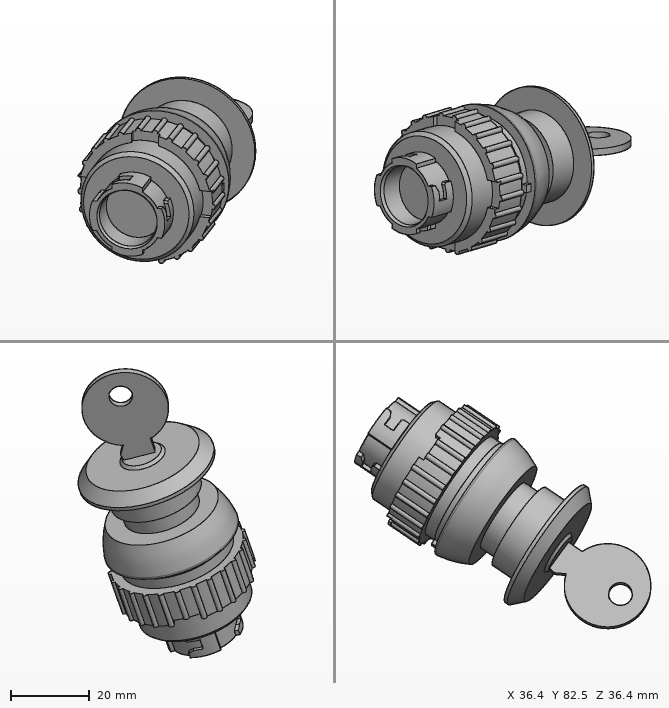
import cadquery as cq
import math

CONNECTOR_FACE_Y = 0.0
BODY_START_Y = 8.0
RING_START_Y = 15.5
RING_END_Y = 25.4
COLLAR_START_Y = 28.4
DOME_START_Y = 30.3
DOME_END_Y = 39.0
NECK_END_Y = 44.0
FLANGE_START_Y = 52.0
FLANGE_END_Y = 56.0
PLUG_END_Y = 56.8
KEY_END_Y = 82.46

BODY_RADIUS = 15.0
BODY_CHAMFER = 1.0
COLLAR_RADIUS = 15.1
DOME_RADIUS = 17.75
DOME_RIM_LENGTH = 0.5
DOME_TOP_RADIUS = 15.0
DOME_BULGE = 0.4
NECK_RADIUS = 10.0
STEM_RADIUS = 12.0
FLANGE_RADIUS = 18.0
FLANGE_RIM_LENGTH = 1.0
PLUG_RADIUS = 6.0

COLLAR_TAB_REACH = 16.45
COLLAR_TAB_WIDTH = 2.0

RING_RADIUS = 17.5
RIB_COUNT = 25
RIB_RADIUS = 0.75
RING_NOTCH_WIDTH = 7.2
RING_NOTCH_DEPTH = 1.4

CONNECTOR_RADIUS = 9.0
LUG_RADIUS = 10.0
LUG_LENGTH = 7.5
LUG_WIDTH = 8.1
QUARTER_TURNS = (0, 90, 180, 270)
BORE_RADIUS = 7.635
BORE_MOUTH_RADIUS = 8.0
BORE_MOUTH_DEPTH = 1.0
BORE_DEPTH = 7.0
LATCH_START_Y = 2.2
LATCH_END_Y = 4.95
LATCH_LEAD_IN_LENGTH = 1.5
LATCH_LEAD_IN_RISE = 0.8
LATCH_CORNER = 0.5

KEY_THICKNESS = 1.8
KEY_HEAD_RADIUS = 11.0
KEY_HOLE_RADIUS = 3.0
KEY_HOLE_OFFSET = 4.0
KEY_SHANK_HALF_WIDTH = 3.6
KEY_BIT_REACH = 5.05
KEY_BIT_TIP_Y = 58.5
KEY_BIT_END_X = 4.8


def cylinder(radius, start_y, end_y):
    """Solid cylinder on the Y axis."""
    return cq.Workplane("XZ", origin=(0, start_y, 0)).circle(radius).extrude(start_y - end_y)


def turned_body():
    """Body, dome, neck, stem, flange and lock plug as one solid of revolution."""
    rim_end_y = DOME_START_Y + DOME_RIM_LENGTH
    dome_middle = (
        (DOME_RADIUS + DOME_TOP_RADIUS) / 2 + DOME_BULGE,
        (rim_end_y + DOME_END_Y) / 2,
    )
    flange_rim_end_y = FLANGE_START_Y + FLANGE_RIM_LENGTH
    flange_bevel = FLANGE_END_Y - flange_rim_end_y
    plug_bevel = PLUG_END_Y - FLANGE_END_Y
    return (
        cq.Workplane("XY")
        .moveTo(0, BODY_START_Y)
        .lineTo(BODY_RADIUS - BODY_CHAMFER, BODY_START_Y)
        .lineTo(BODY_RADIUS, BODY_START_Y + BODY_CHAMFER)
        .lineTo(BODY_RADIUS, COLLAR_START_Y)
        .lineTo(COLLAR_RADIUS, COLLAR_START_Y)
        .lineTo(COLLAR_RADIUS, DOME_START_Y)
        .lineTo(DOME_RADIUS, DOME_START_Y)
        .lineTo(DOME_RADIUS, rim_end_y)
        .threePointArc(dome_middle, (DOME_TOP_RADIUS, DOME_END_Y))
        .lineTo(NECK_RADIUS, DOME_END_Y)
        .lineTo(NECK_RADIUS, NECK_END_Y)
        .lineTo(STEM_RADIUS, NECK_END_Y)
        .lineTo(STEM_RADIUS, FLANGE_START_Y)
        .lineTo(FLANGE_RADIUS, FLANGE_START_Y)
        .lineTo(FLANGE_RADIUS, flange_rim_end_y)
        .lineTo(FLANGE_RADIUS - flange_bevel, FLANGE_END_Y)
        .lineTo(PLUG_RADIUS, FLANGE_END_Y)
        .lineTo(PLUG_RADIUS - plug_bevel, PLUG_END_Y)
        .lineTo(0, PLUG_END_Y)
        .close()
        .revolve(360, (0, 0, 0), (0, 1, 0))
    )


def collar_tab():
    """Locating tab reaching out to +X between the collar start and the dome."""
    tab_length = DOME_START_Y - COLLAR_START_Y
    return (
        cq.Workplane("XY", origin=(0, COLLAR_START_Y, -COLLAR_TAB_WIDTH))
        .box(COLLAR_TAB_REACH, tab_length, COLLAR_TAB_WIDTH, centered=False)
    )


def clamping_ring():
    """Ring with half-round ribs all round and four notches in its front face."""
    ring = cylinder(RING_RADIUS, RING_START_Y, RING_END_Y)
    ribs = (
        cq.Workplane("XZ", origin=(0, RING_START_Y, 0))
        .polarArray(RING_RADIUS, -90, 360, RIB_COUNT)
        .circle(RIB_RADIUS)
        .extrude(RING_START_Y - RING_END_Y)
    )
    ring = ring.union(ribs)
    notch_reach = RING_RADIUS + 2 * RIB_RADIUS
    notch = (
        cq.Workplane("XY", origin=(0, RING_START_Y, 0))
        .box(RING_NOTCH_WIDTH, RING_NOTCH_DEPTH, notch_reach, centered=(True, False, False))
    )
    for angle in QUARTER_TURNS:
        ring = ring.cut(notch.rotate((0, 0, 0), (0, 1, 0), angle))
    return ring


def bayonet_lug():
    """Lug on the +Z side with its latch slot open towards -X."""
    blank = cylinder(LUG_RADIUS, CONNECTOR_FACE_Y, CONNECTOR_FACE_Y + LUG_LENGTH)
    window = (
        cq.Workplane("XY", origin=(0, CONNECTOR_FACE_Y, 0))
        .box(LUG_WIDTH, LUG_LENGTH, LUG_RADIUS, centered=(True, False, False))
    )
    flank_x = -LUG_WIDTH / 2
    latch = (
        cq.Workplane("XY")
        .moveTo(0, LATCH_START_Y)
        .lineTo(flank_x + LATCH_LEAD_IN_LENGTH, LATCH_START_Y)
        .lineTo(flank_x, LATCH_START_Y - LATCH_LEAD_IN_RISE)
        .lineTo(flank_x, LATCH_END_Y + LATCH_CORNER)
        .lineTo(flank_x + LATCH_CORNER, LATCH_END_Y)
        .lineTo(0, LATCH_END_Y)
        .close()
        .extrude(LUG_RADIUS)
    )
    return blank.intersect(window).cut(latch)


def connector():
    """Round spigot with four bayonet lugs."""
    spigot = cylinder(CONNECTOR_RADIUS, CONNECTOR_FACE_Y, BODY_START_Y)
    lug = bayonet_lug()
    for angle in QUARTER_TURNS:
        spigot = spigot.union(lug.rotate((0, 0, 0), (0, 1, 0), angle))
    return spigot


def connector_bore():
    """Blind bore with a chamfered mouth."""
    return (
        cq.Workplane("XY")
        .moveTo(0, CONNECTOR_FACE_Y)
        .lineTo(BORE_MOUTH_RADIUS, CONNECTOR_FACE_Y)
        .lineTo(BORE_RADIUS, CONNECTOR_FACE_Y + BORE_MOUTH_DEPTH)
        .lineTo(BORE_RADIUS, CONNECTOR_FACE_Y + BORE_DEPTH)
        .lineTo(0, CONNECTOR_FACE_Y + BORE_DEPTH)
        .close()
        .revolve(360, (0, 0, 0), (0, 1, 0))
    )


def key():
    """Flat key: round head with a hole, and a shank with one sloped bit."""
    head_y = KEY_END_Y - KEY_HEAD_RADIUS
    head_drop = math.sqrt(KEY_HEAD_RADIUS**2 - KEY_SHANK_HALF_WIDTH**2)
    shank_top_y = head_y - head_drop
    shank = (
        cq.Workplane("XY")
        .moveTo(-KEY_SHANK_HALF_WIDTH, FLANGE_END_Y)
        .lineTo(-KEY_SHANK_HALF_WIDTH, head_y)
        .lineTo(KEY_SHANK_HALF_WIDTH, head_y)
        .lineTo(KEY_SHANK_HALF_WIDTH, shank_top_y)
        .lineTo(KEY_BIT_REACH, KEY_BIT_TIP_Y)
        .lineTo(KEY_BIT_END_X, PLUG_END_Y)
        .lineTo(KEY_BIT_END_X, FLANGE_END_Y)
        .close()
        .extrude(KEY_THICKNESS / 2, both=True)
    )
    head = (
        cq.Workplane("XY")
        .center(0, head_y)
        .circle(KEY_HEAD_RADIUS)
        .extrude(KEY_THICKNESS / 2, both=True)
    )
    hole = (
        cq.Workplane("XY")
        .center(0, head_y + KEY_HOLE_OFFSET)
        .circle(KEY_HOLE_RADIUS)
        .extrude(KEY_THICKNESS, both=True)
    )
    return head.union(shank).cut(hole)


result = (
    turned_body()
    .union(collar_tab())
    .union(clamping_ring())
    .union(connector())
    .cut(connector_bore())
    .union(key())
)